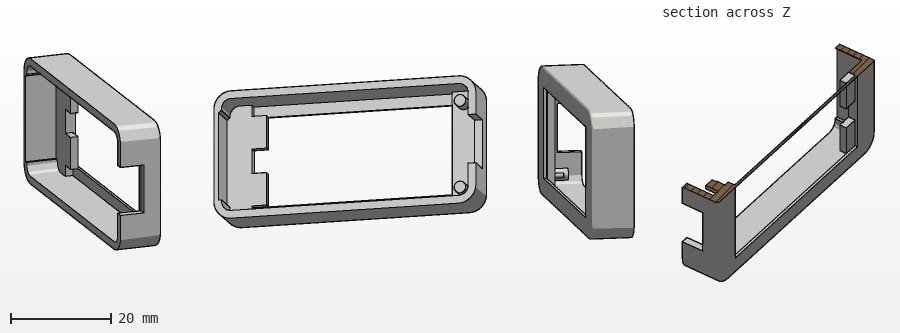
import cadquery as cq

length = 54.2
depth = 8.7
height = 26.2
wall = 1.6
corner_radius = 3.6
back_edge_radius = 0.5

lip_thickness = 0.6
lip_width = 6.1
window_height = 18.4

plate_thickness = 1.6
tab_reach = 3.0
tab_notch_height = 5.0
right_plate_width = 6.7

relief_wall = 1.0
relief_chamfer = 0.5

slot_height = 10.0
slot_depth = 5.0

pin_diameter = 2.4
pin_length = 3.0
pin_from_right = 4.25
pin_spacing = 17.8
key_diameter = 1.0
key_reach = 0.25
key_length = 2.0

left = -length / 2
right = length / 2
lip_front = depth - lip_thickness
plate_front = lip_front - plate_thickness


def block(x_min, x_max, y_min, y_max, z_size):
    """Box between the given X and Y limits, centred on z = 0."""
    return (
        cq.Workplane("XY")
        .box(x_max - x_min, y_max - y_min, z_size)
        .translate(((x_min + x_max) / 2, (y_min + y_max) / 2, 0))
    )


def make_shell():
    """Rounded tray with a thin back panel, open at the front."""
    outer = block(left, right, 0, depth, height).edges("|Y").fillet(corner_radius)
    outer = outer.faces(">Y").edges().fillet(back_edge_radius)
    return outer.cut(make_cavity(lip_front))


def make_cavity(back):
    """Rounded inside volume from the front rim to the given depth."""
    cavity = block(left + wall, right - wall, 0, back, height - 2 * wall)
    return cavity.edges("|Y").fillet(corner_radius - wall)


def make_left_plate():
    """Plate on the left lip, with a notched tab reaching into the window."""
    tab_start = left + lip_width
    tab_end = tab_start + tab_reach
    plate = block(left, tab_start, plate_front, lip_front, height)
    plate = plate.intersect(make_cavity(lip_front))
    tab = block(tab_start, tab_end, plate_front, lip_front, window_height)
    notch = block(tab_start, tab_end, plate_front, lip_front, tab_notch_height)
    return plate.union(tab.cut(notch))


def make_right_plate():
    """Plate on the right lip that slightly overhangs the window."""
    plate = block(right - right_plate_width, right, plate_front, lip_front, height)
    return plate.intersect(make_cavity(lip_front))


def make_relief():
    """Pocket in the left wall, with one bevelled corner at the top."""
    relief = block(left + relief_wall, left + corner_radius, 0, plate_front, window_height)
    return relief.edges("|Y and <X and >Z").chamfer(relief_chamfer)


def make_post(x, z, diameter, post_length):
    """Round post rising from the right plate toward the front rim."""
    return (
        cq.Workplane("XZ", origin=(x, plate_front, z))
        .circle(diameter / 2)
        .extrude(post_length)
    )


def make_pin(z):
    """Locating pin with a shorter round key on its left side."""
    x = right - pin_from_right
    key_x = x - pin_diameter / 2 - key_reach + key_diameter / 2
    pin = make_post(x, z, pin_diameter, pin_length)
    return pin.union(make_post(key_x, z, key_diameter, key_length))


window = block(left + lip_width, right - lip_width, lip_front, depth, window_height)
slot = block(right - wall, right, 0, slot_depth, slot_height)

result = make_shell().cut(window).union(make_left_plate()).union(make_right_plate())
result = result.cut(make_relief()).cut(slot)
for side in (-1, 1):
    result = result.union(make_pin(side * pin_spacing / 2))